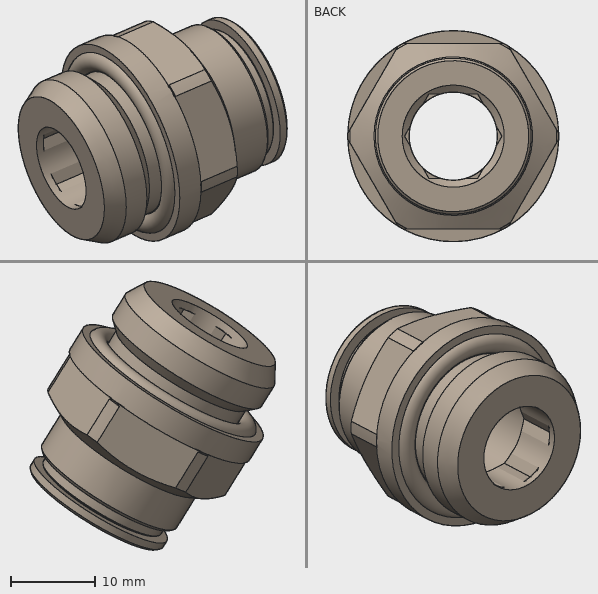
import cadquery as cq
import math

length = 26.3
front_y = -length / 2

nose_radius = 10.35
nose_tip_radius = 9.07
nose_chamfer_length = 2.25
nose_back = 5.2
undercut_radius = 9.02
undercut_start = 6.5

flange_diameter = 25.0
flange_radius = flange_diameter / 2
flange_start = 8.47
flange_end = 11.52
hex_across_flats = 21.99
hex_corner_radius = 12.25
hex_root_flare = 0.24
hex_chamfer_start = 16.88
hex_end = 18.52

seal_radius = 1.25
seal_front = 7.63

body_radius = 9.4
body_end = 23.5
body_chamfer = 0.37
sleeve_radius = 8.2
sleeve_end = 24.95
sleeve_chamfer = 0.18
collar_neck_radius = 7.63
collar_radius = 9.23
collar_start = 25.1
collar_chamfer = 0.3

bore_radius = 5.2
key_across_flats = 10.0
key_start = 1.0
bore_end = 6.42
socket_start = 7.05
socket_radius = 6.05


def revolve_profile(points):
    """Revolve (radius, station) points into a solid about the Y axis."""
    profile = cq.Workplane("XY").polyline(points).close()
    return profile.revolve(360, (0, 0, 0), (0, 1, 0))


def hex_prism(across_flats, start, end):
    """Hexagonal prism along Y with two flats facing +Z and -Z."""
    plane = cq.Workplane("XZ", origin=(0, end, 0))
    across_corners = across_flats / math.cos(math.radians(30))
    return plane.polygon(6, across_corners).extrude(end - start)


def make_nose_and_flange():
    return revolve_profile([
        (0, 0),
        (nose_tip_radius, 0),
        (nose_radius, nose_chamfer_length),
        (nose_radius, nose_back),
        (undercut_radius, undercut_start),
        (undercut_radius, flange_start),
        (flange_radius, flange_start),
        (flange_radius, flange_end),
        (0, flange_end),
    ])


def make_seal_ring():
    ring_radius = undercut_radius + seal_radius
    section = cq.Workplane("XY").center(ring_radius, seal_front + seal_radius).circle(seal_radius)
    return section.revolve(360, (-ring_radius, 0, 0), (-ring_radius, 1, 0))


def make_hexagon():
    """Hexagon with rounded corners, flared at the flange and chamfered behind."""
    envelope = revolve_profile([
        (0, flange_end),
        (flange_radius, flange_end),
        (hex_corner_radius, flange_end + hex_root_flare),
        (hex_corner_radius, hex_chamfer_start),
        (body_radius, hex_end),
        (0, hex_end),
    ])
    return hex_prism(hex_across_flats, flange_end, hex_end).intersect(envelope)


def make_rear():
    return revolve_profile([
        (0, hex_end),
        (body_radius, hex_end),
        (body_radius, body_end - body_chamfer),
        (body_radius - body_chamfer, body_end),
        (sleeve_radius, body_end),
        (sleeve_radius, sleeve_end - sleeve_chamfer),
        (sleeve_radius - sleeve_chamfer, sleeve_end),
        (collar_neck_radius, sleeve_end),
        (collar_neck_radius, collar_start),
        (collar_radius, collar_start),
        (collar_radius, length - collar_chamfer),
        (collar_radius - collar_chamfer, length),
        (0, length),
    ])


def make_passage():
    """Through bore with hexagon key corners, opening by a cone into a rear tube socket."""
    round_passage = revolve_profile([
        (0, 0),
        (bore_radius, 0),
        (bore_radius, bore_end),
        (socket_radius, socket_start),
        (socket_radius, length),
        (0, length),
    ])
    return round_passage.union(hex_prism(key_across_flats, key_start, socket_start))


outside = make_nose_and_flange().union(make_seal_ring()).union(make_hexagon()).union(make_rear())
result = outside.cut(make_passage()).translate((0, front_y, 0))